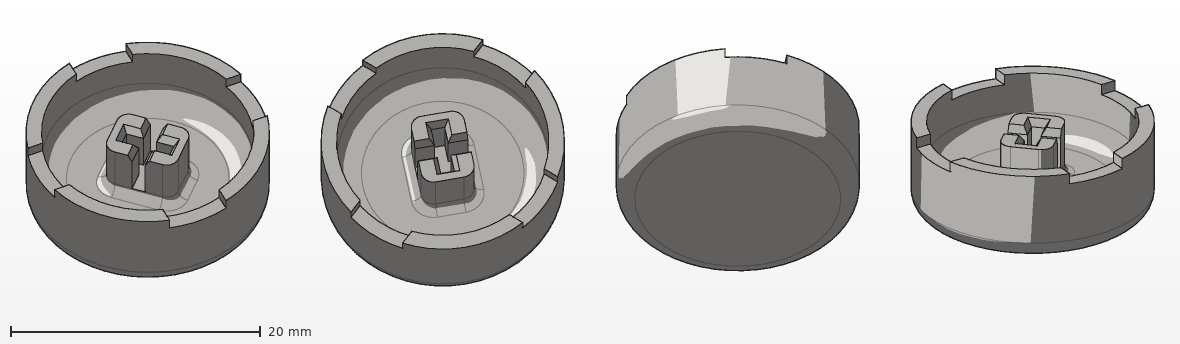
import cadquery as cq

outer_diameter = 19.5
inner_diameter = 17.0
height = 7.5
floor_thickness = 2.0
outer_edge_radius = 1.5
bowl_radius = 1.99

notch_width = 5.0
notch_depth = 0.9
notch_bar_length = outer_diameter + notch_width
notch_angles = (45, 135)

post_length = 6.05
post_width = 4.3
post_corner_radius = 1.0
post_top = 6.6
post_fillet = 0.8

socket_length = 4.04
socket_slot_width = 1.11
lead_in_offset = 0.37
lead_in_depth = 0.65
socket_floor = floor_thickness + post_fillet


def make_cup():
    body = cq.Workplane("XY").circle(outer_diameter / 2).extrude(height)
    body = body.faces("<Z").edges().fillet(outer_edge_radius)
    cavity = (
        cq.Workplane("XY", origin=(0, 0, floor_thickness))
        .circle(inner_diameter / 2)
        .extrude(height - floor_thickness)
        .faces("<Z").edges().fillet(bowl_radius)
    )
    return body.cut(cavity)


def make_rim_notch(angle):
    return (
        cq.Workplane("XY", origin=(0, 0, height - notch_depth))
        .rect(notch_bar_length, notch_width)
        .extrude(notch_depth)
        .rotate((0, 0, 0), (0, 0, 1), angle)
    )


def add_post(cup):
    post = (
        cq.Workplane("XY")
        .rect(post_length, post_width)
        .extrude(post_top)
        .edges("|Z").fillet(post_corner_radius)
    )
    half_length = post_length / 2
    half_width = post_width / 2
    clearance = 0.1
    base_edges = cq.selectors.BoxSelector(
        (-half_length - clearance, -half_width - clearance, floor_thickness - clearance),
        (half_length + clearance, half_width + clearance, floor_thickness + clearance),
    )
    return cup.union(post).edges(base_edges).fillet(post_fillet)


def make_slot(length, width):
    """Straight slot that widens towards the post top on all four sides."""
    slot = (
        cq.Workplane("XY", origin=(0, 0, socket_floor))
        .rect(length, width)
        .extrude(post_top - socket_floor)
    )
    lead_in = (
        cq.Workplane("XY", origin=(0, 0, post_top - lead_in_depth))
        .rect(length, width)
        .workplane(offset=lead_in_depth)
        .rect(length + 2 * lead_in_offset, width + 2 * lead_in_offset)
        .loft(ruled=True)
    )
    return slot.union(lead_in)


result = make_cup()
for notch_angle in notch_angles:
    result = result.cut(make_rim_notch(notch_angle))
result = add_post(result)

result = result.cut(make_slot(socket_length, socket_slot_width))
result = result.cut(make_slot(socket_slot_width, post_width))